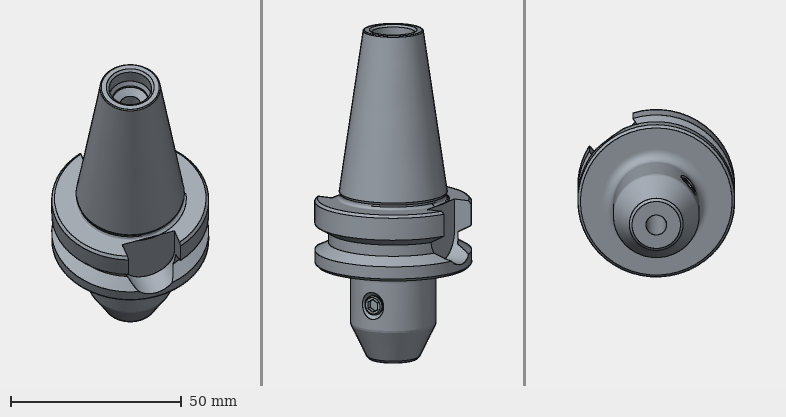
import cadquery as cq
import math

total_height = 98.4

gauge_height = 50.0
gauge_radius = 15.8
taper_slope = 7 / 48
tip_chamfer = 0.3
relief_radius = 15.5
relief_drop = 0.7
relief_fillet = 0.9

flange_bottom = 28.0
flange_top = 47.8
flange_radius = 22.98
flange_chamfer = 0.8
groove_radius = 19.0
groove_lower_edge = 32.5
groove_upper_edge = 40.4
groove_floor_bottom = 34.7
groove_floor_top = 38.1

nose_radius = 12.55
nose_fillet = 3.05
nose_cone_top = 10.4
nose_shoulder_round = 1.6
nose_end_radius = 7.9
nose_end_chamfer = 0.8

slot_width = 16.1
slot_bottom = 30.6
slot_floor = 16.0

bore_radius = 3.0
counterbore_radius = 6.2
mouth_radius = 7.0
mouth_depth = 0.6
counterbore_depth = 4.6
inner_bore_radius = 5.3
inner_bore_lead_in = 1.2
inner_bore_depth = 6.4
drill_point_half_angle = 59

screw_height = 18.0
screw_radius = 2.9
screw_end_chamfer = 0.4
screw_face_depth = 0.3
sink_rim_radius = 4.0
sink_depth = 1.3
hex_across_flats = 3.2
hex_depth = 1.5

recess_radius = 4.5
recess_height = 20.1
recess_depth = 2.0


def turned_body():
    tip_radius = gauge_radius - taper_slope * (total_height - gauge_height)
    chamfer_radius = tip_radius + taper_slope * tip_chamfer
    return (
        cq.Workplane("XZ")
        .moveTo(0, 0)
        .lineTo(nose_end_radius - nose_end_chamfer, 0)
        .lineTo(nose_end_radius, nose_end_chamfer)
        .lineTo(nose_radius, nose_cone_top)
        .lineTo(nose_radius, flange_bottom - nose_fillet)
        .radiusArc((nose_radius + nose_fillet, flange_bottom), nose_fillet)
        .lineTo(flange_radius - flange_chamfer, flange_bottom)
        .lineTo(flange_radius, flange_bottom + flange_chamfer)
        .lineTo(flange_radius, groove_lower_edge)
        .lineTo(groove_radius, groove_floor_bottom)
        .lineTo(groove_radius, groove_floor_top)
        .lineTo(flange_radius, groove_upper_edge)
        .lineTo(flange_radius, flange_top - flange_chamfer)
        .lineTo(flange_radius - flange_chamfer, flange_top)
        .lineTo(relief_radius + relief_fillet, flange_top)
        .radiusArc((relief_radius, flange_top + relief_fillet), relief_fillet)
        .lineTo(relief_radius, gauge_height - relief_drop)
        .lineTo(gauge_radius, gauge_height)
        .lineTo(chamfer_radius, total_height - tip_chamfer)
        .lineTo(tip_radius - tip_chamfer, total_height)
        .lineTo(0, total_height)
        .close()
        .revolve(360, (0, 0, 0), (0, 1, 0))
    )


def round_nose_shoulder(body):
    tolerance = 0.1
    margin = 2 * nose_radius
    selector = cq.selectors.BoxSelector(
        (-margin, -margin, nose_cone_top - tolerance),
        (margin, margin, nose_cone_top + tolerance),
    )
    return body.edges(selector).edges("%CIRCLE").fillet(nose_shoulder_round)


def central_bore():
    counterbore_floor = total_height - counterbore_depth
    inner_bore_bottom = total_height - inner_bore_depth
    point_length = (inner_bore_radius - bore_radius) / math.tan(math.radians(drill_point_half_angle))
    return (
        cq.Workplane("XZ")
        .moveTo(0, 0)
        .lineTo(bore_radius, 0)
        .lineTo(bore_radius, inner_bore_bottom - point_length)
        .lineTo(inner_bore_radius, inner_bore_bottom)
        .lineTo(inner_bore_radius, counterbore_floor - inner_bore_lead_in)
        .lineTo(counterbore_radius, counterbore_floor)
        .lineTo(counterbore_radius, total_height - mouth_depth)
        .lineTo(mouth_radius, total_height)
        .lineTo(0, total_height)
        .close()
        .revolve(360, (0, 0, 0), (0, 1, 0))
    )


def drive_slot(side):
    """Round-bottomed slot, open upward and outward, on the +X or -X side."""
    radius = slot_width / 2
    arc_center = slot_bottom + radius
    return (
        cq.Workplane("YZ", origin=(side * slot_floor, 0, 0))
        .moveTo(-radius, flange_top)
        .lineTo(-radius, arc_center)
        .threePointArc((0, slot_bottom), (radius, arc_center))
        .lineTo(radius, flange_top)
        .close()
        .extrude(side * flange_radius)
    )


def screw_countersink():
    """Conical sink that leaves the chamfered end of a hex-socket screw standing in it."""
    face_radius = nose_radius - screw_face_depth
    sink = (
        cq.Workplane("XY", origin=(0, 0, screw_height))
        .moveTo(screw_radius - screw_end_chamfer, -nose_radius)
        .lineTo(sink_rim_radius, -nose_radius)
        .lineTo(screw_radius, -nose_radius + sink_depth)
        .lineTo(screw_radius, -face_radius + screw_end_chamfer)
        .lineTo(screw_radius - screw_end_chamfer, -face_radius)
        .close()
        .revolve(360, (0, 0, 0), (0, 1, 0))
    )
    face_space = (
        cq.Workplane("XZ", origin=(0, -face_radius, screw_height))
        .circle(screw_radius - screw_end_chamfer)
        .extrude(screw_face_depth)
    )
    hex_diameter = hex_across_flats / math.cos(math.pi / 6)
    socket = (
        cq.Workplane("XZ", origin=(0, -face_radius, screw_height))
        .transformed(rotate=(0, 0, 90))
        .polygon(6, hex_diameter)
        .extrude(-hex_depth)
    )
    return sink.union(face_space).union(socket)


def side_recess():
    return (
        cq.Workplane("XZ", origin=(0, nose_radius, recess_height))
        .circle(recess_radius)
        .extrude(recess_depth)
    )


result = round_nose_shoulder(turned_body()).cut(central_bore())
for side in (-1, 1):
    result = result.cut(drive_slot(side))
result = result.cut(screw_countersink()).cut(side_recess())